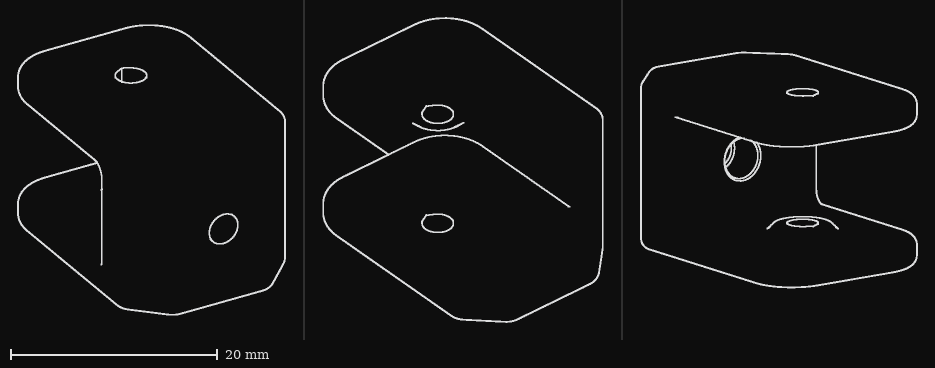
import cadquery as cq
import math

LENGTH = 27.0
WIDTH = 18.8
PLATE_THICKNESS = 3.0
GAP = 11.0
HEIGHT = GAP + 2 * PLATE_THICKNESS
GAP_DEPTH = 19.0
WALL_THICKNESS = LENGTH - GAP_DEPTH

OPEN_CORNER_RADIUS = 4.9
BACK_CHAMFER = 4.0
BACK_CORNER_RADIUS = 2.0
GAP_CORNER_RADIUS = 1.0
EDGE_RADIUS = 1.0

PIN_X = 9.2
PIN_DIAMETER = 3.05
PIN_POINT_REACH = 1.73
BOSS_HEIGHT = 1.0
BOSS_TOP_DIAMETER = 5.5
BOSS_BASE_DIAMETER = BOSS_TOP_DIAMETER + 2 * BOSS_HEIGHT
BOSS_ROOT_RADIUS = 1.0
BOSS_RIM_RADIUS = 0.5

SCREW_DIAMETER = 3.2
COUNTERBORE_DIAMETER = 4.0
COUNTERBORE_DEPTH = WALL_THICKNESS / 2
COUNTERBORE_CHAMFER = 0.2


def outer_block():
    """Block with round corners at the open end and blunted chamfers at the back."""
    block = cq.Workplane("XY").box(LENGTH, WIDTH, HEIGHT, centered=(False, True, True))
    block = block.edges("|Z and <X").fillet(OPEN_CORNER_RADIUS)
    block = block.edges("|Z and >X").chamfer(BACK_CHAMFER)
    back_corners = cq.selectors.BoxSelector(
        (LENGTH - BACK_CHAMFER - EDGE_RADIUS, -WIDTH, -HEIGHT),
        (LENGTH + EDGE_RADIUS, WIDTH, HEIGHT),
    )
    return block.edges("|Z").edges(back_corners).fillet(BACK_CORNER_RADIUS)


def gap_cutter():
    """Slot between the plates, running out of the open end and both sides."""
    cutter = cq.Workplane("XY").box(2 * GAP_DEPTH, 2 * WIDTH, GAP)
    return cutter.edges("|Y and >X").fillet(GAP_CORNER_RADIUS)


def clevis_body():
    """U-shaped body with its outline and gap edges rounded."""
    body = outer_block().cut(gap_cutter())
    body = body.faces("<Z or >Z").edges().fillet(EDGE_RADIUS)
    gap_zone = cq.selectors.BoxSelector(
        (-EDGE_RADIUS, -WIDTH, -(GAP + EDGE_RADIUS) / 2),
        (GAP_DEPTH + EDGE_RADIUS, WIDTH, (GAP + EDGE_RADIUS) / 2),
    )
    straight_across = cq.selectors.BoxSelector(
        (EDGE_RADIUS, -EDGE_RADIUS, -HEIGHT),
        (LENGTH, EDGE_RADIUS, HEIGHT),
    )
    rim = body.edges(gap_zone - straight_across)
    return rim.fillet(EDGE_RADIUS)


def lower_boss():
    """45 degree cone on the lower plate with a rounded rim and a concave fillet at its root."""
    slope = math.atan2(BOSS_HEIGHT, (BOSS_BASE_DIAMETER - BOSS_TOP_DIAMETER) / 2)
    embed = PLATE_THICKNESS / 2
    root_tangent = BOSS_ROOT_RADIUS * math.tan(slope / 2)
    base_radius = BOSS_BASE_DIAMETER / 2
    root_outer = base_radius + root_tangent
    cone_start = (base_radius - root_tangent * math.cos(slope), root_tangent * math.sin(slope))
    root_middle = (
        root_outer - BOSS_ROOT_RADIUS * math.sin(slope / 2),
        BOSS_ROOT_RADIUS * (1 - math.cos(slope / 2)),
    )
    profile = (
        cq.Workplane("XZ")
        .moveTo(0, -embed)
        .lineTo(root_outer, -embed)
        .lineTo(root_outer, 0)
        .threePointArc(root_middle, cone_start)
        .lineTo(BOSS_TOP_DIAMETER / 2, BOSS_HEIGHT)
        .lineTo(0, BOSS_HEIGHT)
        .close()
    )
    boss = profile.revolve(360, (0, 0, 0), (0, 1, 0))
    boss = boss.edges(">Z").fillet(BOSS_RIM_RADIUS)
    return boss.translate((PIN_X, 0, -GAP / 2))


def pin_hole():
    """Round hole with a blunt point toward the open end, through both plates and bosses."""
    radius = PIN_DIAMETER / 2
    tangent_angle = math.acos(radius / PIN_POINT_REACH)
    tangent_x = -radius * math.cos(tangent_angle)
    tangent_y = radius * math.sin(tangent_angle)
    outline = (
        cq.Workplane("XY")
        .moveTo(-PIN_POINT_REACH, 0)
        .lineTo(tangent_x, tangent_y)
        .threePointArc((radius, 0), (tangent_x, -tangent_y))
        .close()
    )
    return outline.extrude(HEIGHT, both=True).translate((PIN_X, 0, 0))


def screw_hole():
    """Through hole in the back wall, counterbored and chamfered from the gap side."""
    mouth = cq.Workplane("YZ").workplane(offset=GAP_DEPTH)
    through = mouth.circle(SCREW_DIAMETER / 2).extrude(WALL_THICKNESS)
    counterbore = mouth.circle(COUNTERBORE_DIAMETER / 2).extrude(COUNTERBORE_DEPTH)
    chamfer = (
        mouth.circle(COUNTERBORE_DIAMETER / 2 + COUNTERBORE_CHAMFER)
        .workplane(offset=COUNTERBORE_CHAMFER)
        .circle(COUNTERBORE_DIAMETER / 2)
        .loft()
    )
    return through.union(counterbore).union(chamfer)


boss = lower_boss()
result = (
    clevis_body()
    .union(boss)
    .union(boss.mirror("XY"))
    .cut(pin_hole())
    .cut(screw_hole())
)